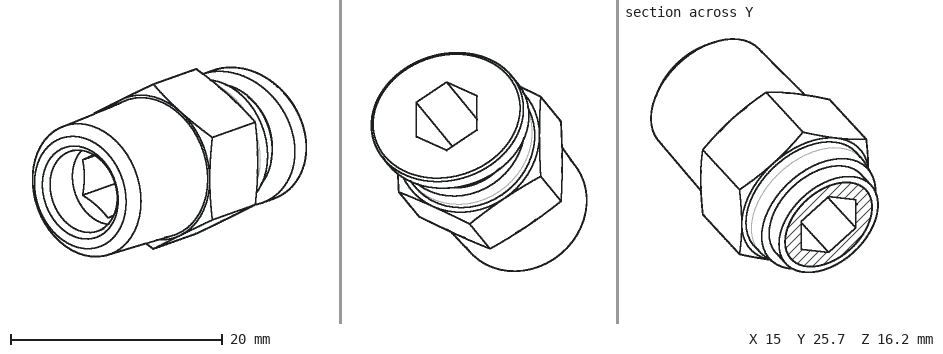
import cadquery as cq
import math

total_length = 25.7
thread_end = -total_length / 2
ring_end = total_length / 2

hex_across_flats = 14.0
hex_length = 7.5
hex_corner_angle = 20.0

thread_length = 11.0
thread_base_diameter = 13.52
thread_tip_diameter = 12.88
thread_chamfer = 1.0

collar_diameter = 13.08
collar_straight_length = 0.95
collar_end_diameter = 12.6
collar_length = 2.47
sleeve_diameter = 10.95
sleeve_length = 1.8
neck_diameter = 9.65

ring_width = 15.0
ring_height = 12.98
ring_thickness = 2.05
ring_chamfer = 0.25

bore_diameter = 7.97
bore_depth = 4.0
bore_mouth_diameter = 9.0
drill_point_angle = 120.0
socket_across_flats = 6.0

hex_start = thread_end + thread_length
hex_end = hex_start + hex_length
collar_end = hex_end + collar_length
sleeve_end = collar_end + sleeve_length
ring_start = ring_end - ring_thickness


def plane_at(y):
    """Plane across the axis at y, with its normal along +Y."""
    return cq.Plane(origin=(0, y, 0), xDir=(1, 0, 0), normal=(0, 1, 0))


def revolve_profile(points):
    """Solid of revolution about Y from (radius, y) points."""
    return cq.Workplane("XY").polyline(points).close().revolve(360, (0, 0, 0), (0, 1, 0))


def hex_prism(across_flats, start, length):
    """Hexagonal bar along Y with two corners on the Z axis."""
    across_corners = across_flats / math.cos(math.radians(30))
    bar = cq.Workplane(plane_at(start)).polygon(6, across_corners).extrude(length)
    return bar.rotate((0, 0, 0), (0, 1, 0), 90)


def body_hexagon():
    """Hexagon whose corners are turned down to the flats at both ends."""
    flat_radius = hex_across_flats / 2
    corner_radius = flat_radius / math.cos(math.radians(30))
    corner_depth = (corner_radius - flat_radius) * math.tan(math.radians(hex_corner_angle))
    turned_envelope = revolve_profile([
        (0, hex_start),
        (flat_radius, hex_start),
        (corner_radius, hex_start + corner_depth),
        (corner_radius, hex_end - corner_depth),
        (flat_radius, hex_end),
        (0, hex_end),
    ])
    return hex_prism(hex_across_flats, hex_start, hex_length).intersect(turned_envelope)


def thread():
    """Tapered thread blank with a 45 degree lead chamfer."""
    tip_radius = thread_tip_diameter / 2
    return revolve_profile([
        (0, thread_end),
        (tip_radius - thread_chamfer, thread_end),
        (tip_radius, thread_end + thread_chamfer),
        (thread_base_diameter / 2, hex_start),
        (0, hex_start),
    ])


def stepped_collar():
    """Collar, sleeve and neck, stepping down towards the release ring."""
    return revolve_profile([
        (0, hex_end),
        (collar_diameter / 2, hex_end),
        (collar_diameter / 2, hex_end + collar_straight_length),
        (collar_end_diameter / 2, collar_end),
        (sleeve_diameter / 2, collar_end),
        (sleeve_diameter / 2, sleeve_end),
        (neck_diameter / 2, sleeve_end),
        (neck_diameter / 2, ring_start),
        (0, ring_start),
    ])


def release_ring():
    """Elliptical ring, chamfered on its outer face."""
    ring = cq.Workplane(plane_at(ring_start)).ellipse(ring_width / 2, ring_height / 2)
    return ring.extrude(ring_thickness).faces(">Y").chamfer(ring_chamfer)


def bore():
    """Blind drilled bore with a chamfered mouth and a conical bottom."""
    bore_radius = bore_diameter / 2
    mouth_radius = bore_mouth_diameter / 2
    bore_bottom = thread_end + bore_depth
    point_depth = bore_radius / math.tan(math.radians(drill_point_angle / 2))
    return revolve_profile([
        (0, thread_end),
        (mouth_radius, thread_end),
        (bore_radius, thread_end + mouth_radius - bore_radius),
        (bore_radius, bore_bottom),
        (0, bore_bottom + point_depth),
    ])


outside = body_hexagon().union(thread()).union(stepped_collar()).union(release_ring())
socket = hex_prism(socket_across_flats, thread_end, total_length)
result = outside.cut(bore()).cut(socket)